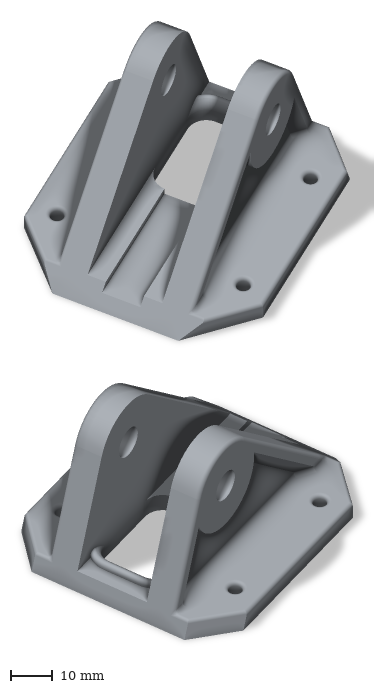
import cadquery as cq
import math

length = 74.0
width = 64.0
plate_height = 4.95
edge_round = 0.95
overcut = 14.8
tiny = 0.04

gap = 20.0
cheek_thickness = 8.0
boss_radius = 12.5
pivot_diameter = 8.2
pivot_y = 12.9
pivot_z = 30.0

pocket_depth = 3.0
rib_width = 3.0

front_corner_x = 15.2
front_corner_y = 15.5
back_corner = 10.0

screw_diameter = 3.5
screw_mouth_round = 1.0
screw_x = 24.95
screw_front_y = -17.85
screw_back_y = 19.2
window_front_y = 0.5
window_back_y = 28.3
window_corner = 5.0
groove_width = 10.2
groove_depth = 1.9

lip_width = 3.0
lip_foot_z = 4.0
lip_crest_radius = 1.0

half_gap = gap / 2
cheek_face = half_gap + cheek_thickness
front_y = -length / 2
back_y = length / 2


def slope_angle(run):
    """Angle of the line from a base end that is tangent to the boss."""
    distance = math.hypot(run, pivot_z)
    return math.atan2(pivot_z, run) + math.asin(boss_radius / distance)


front_angle = slope_angle(pivot_y - front_y)
back_angle = slope_angle(back_y - pivot_y)


def pocket_triangle(base_z):
    """Triangle one rib width inside both slopes, cut off at base_z."""
    front = front_y + rib_width / math.sin(front_angle)
    back = back_y - rib_width / math.sin(back_angle)
    front_slope = math.tan(front_angle)
    back_slope = math.tan(back_angle)
    apex_y = (front * front_slope + back * back_slope) / (front_slope + back_slope)
    apex_z = (apex_y - front) * front_slope
    return [
        (front + base_z / front_slope, base_z),
        (back - base_z / back_slope, base_z),
        (apex_y, apex_z),
    ]


def cheek_outline():
    """Side outline of a cheek: two slopes joined by the arc around the pivot."""
    front_tangent = (
        pivot_y - boss_radius * math.sin(front_angle),
        pivot_z + boss_radius * math.cos(front_angle),
    )
    back_tangent = (
        pivot_y + boss_radius * math.sin(back_angle),
        pivot_z + boss_radius * math.cos(back_angle),
    )
    return (
        cq.Workplane("YZ", origin=(half_gap, 0, 0))
        .moveTo(front_y, 0)
        .lineTo(back_y, 0)
        .lineTo(*back_tangent)
        .threePointArc((pivot_y, pivot_z + boss_radius), front_tangent)
        .close()
    )


def mirrored(body):
    """Body joined with its mirror image across the middle plane."""
    return body.union(body.mirror("YZ"))


def make_plate():
    """Base plate with sloping ends."""
    return (
        cq.Workplane("YZ", origin=(-width / 2, 0, 0))
        .polyline([
            (front_y, 0),
            (back_y, 0),
            (back_y - plate_height / math.tan(back_angle), plate_height),
            (front_y + plate_height / math.tan(front_angle), plate_height),
        ])
        .close()
        .extrude(width)
    )


def make_corner_cuts():
    """Wedges that trim the corners: upright in front, leaning with the slope at the back."""
    side = width / 2
    front_cut = (
        cq.Workplane("XY")
        .polyline([
            (side - front_corner_x, front_y),
            (side, front_y + front_corner_y),
            (side, front_y),
        ])
        .close()
        .extrude(plate_height)
    )
    back_plane = cq.Plane(
        origin=(side, back_y, 0),
        xDir=(1, 0, 0),
        normal=(0, -math.cos(back_angle), math.sin(back_angle)),
    )
    back_cut = (
        cq.Workplane(back_plane)
        .polyline([
            (-2 * back_corner, back_corner),
            (back_corner, -2 * back_corner),
            (back_corner, back_corner),
        ])
        .close()
        .extrude(overcut, both=True)
    )
    return mirrored(front_cut.union(back_cut))


def make_pocket():
    """Pocket with 45 degree slopes along both ribs, stopping at the boss and the plate."""
    pocket = (
        cq.Workplane("YZ", origin=(cheek_face, 0, 0))
        .polyline(pocket_triangle(plate_height - overcut))
        .close()
        .extrude(-pocket_depth, taper=45)
    )
    boss = (
        cq.Workplane("YZ", origin=(cheek_face, 0, 0))
        .center(pivot_y, pivot_z)
        .circle(boss_radius)
        .extrude(-pocket_depth)
    )
    pocket_zone = (
        cq.Workplane("XY", origin=(0, 0, plate_height))
        .box(width, length, pivot_z + boss_radius / 2 - plate_height, centered=(True, True, False))
    )
    return pocket.intersect(pocket_zone).cut(boss)


def make_lip():
    """Rounded lip that follows the back edge of the window and its two corners."""
    crest_d = lip_width - lip_crest_radius
    crest_z = lip_foot_z + math.sqrt(crest_d**2 - lip_crest_radius**2)
    blend_angle = math.atan2(crest_z - lip_foot_z, lip_crest_radius)

    def on_inner_arc(angle):
        return (
            window_back_y + lip_width - lip_width * math.cos(angle),
            lip_foot_z + lip_width * math.sin(angle),
        )

    straight = half_gap - window_corner
    section = (
        cq.Workplane("YZ", origin=(straight, 0, 0))
        .moveTo(window_back_y, lip_foot_z)
        .threePointArc(on_inner_arc(blend_angle / 2), on_inner_arc(blend_angle))
        .threePointArc(
            (window_back_y + crest_d, crest_z + lip_crest_radius),
            (window_back_y + lip_width, crest_z),
        )
        .lineTo(window_back_y + lip_width, lip_foot_z)
        .close()
    )
    centre_y = window_back_y - window_corner
    bar = cq.Workplane("YZ", origin=(straight, 0, 0)).add(section).toPending().extrude(-straight)
    corner = section.revolve(90, (centre_y, 0, 0), (centre_y, -1, 0))
    return mirrored(bar.union(corner))


def make_lip_seat():
    """Clearance in the plate under the lip, open towards the window."""
    corner_y = window_back_y - window_corner
    straight = half_gap - window_corner
    radius = window_corner + lip_width
    return (
        cq.Workplane("XY", origin=(0, corner_y, lip_foot_z))
        .moveTo(-straight - radius, 0)
        .radiusArc((-straight, radius), radius)
        .lineTo(straight, radius)
        .radiusArc((straight + radius, 0), radius)
        .close()
        .extrude(plate_height)
    )


def make_window():
    """Rounded opening through the plate between the cheeks."""
    window_length = window_back_y - window_front_y
    return (
        cq.Workplane("XY")
        .center(0, (window_front_y + window_back_y) / 2)
        .rect(gap, window_length)
        .extrude(plate_height + overcut)
        .edges("|Z")
        .fillet(window_corner)
    )


def make_groove():
    """Shallow groove from the window out through the front slope."""
    return (
        cq.Workplane("XY", origin=(0, front_y, plate_height - groove_depth))
        .rect(groove_width, 2 * (window_front_y + window_corner - front_y))
        .extrude(overcut)
    )


def make_screw_hole():
    """Screw hole whose mouth flares out in a quarter round."""
    radius = screw_diameter / 2
    mouth_radius = radius + screw_mouth_round
    return (
        cq.Workplane("XZ")
        .lineTo(radius, 0)
        .lineTo(radius, plate_height - screw_mouth_round)
        .radiusArc((mouth_radius, plate_height), screw_mouth_round)
        .lineTo(0, plate_height)
        .close()
        .revolve(360, (0, 0, 0), (0, 1, 0))
    )


def plate_top_zone(x_from, x_to, whole_edges):
    """Selector for the edges at plate height between two distances from the middle plane."""
    low = plate_height - tiny
    high = plate_height + tiny
    right = cq.selectors.BoxSelector((x_from, front_y, low), (x_to, back_y, high), boundingbox=whole_edges)
    left = cq.selectors.BoxSelector((-x_to, front_y, low), (-x_from, back_y, high), boundingbox=whole_edges)
    return right + left


def round_feet(body):
    """Concave rounds where the outer cheek faces and the pockets meet the plate."""
    pocket_floor = cheek_face - pocket_depth
    feet = plate_top_zone(pocket_floor - tiny, cheek_face + tiny, True)
    return body.edges(feet).fillet(edge_round)


def round_outside(body):
    """Convex rounds along the top edges of the plate wings and over the cheek outlines."""
    wing_edges = plate_top_zone(cheek_face + tiny, width, False)
    highest = pivot_z + boss_radius + tiny
    near = cheek_face - tiny
    far = cheek_face + tiny
    right_arc = cq.selectors.BoxSelector((near, front_y, pivot_z), (far, back_y, highest), boundingbox=True)
    left_arc = cq.selectors.BoxSelector((-far, front_y, pivot_z), (-near, back_y, highest), boundingbox=True)
    return body.edges(wing_edges + right_arc + left_arc).fillet(edge_round)


cheek = cheek_outline().extrude(cheek_thickness).cut(make_pocket())
body = make_plate().cut(make_lip_seat()).union(mirrored(cheek)).cut(make_corner_cuts())
body = round_outside(body)
body = round_feet(body)

body = body.cut(make_window()).union(make_lip()).cut(make_groove())

for x in (-screw_x, screw_x):
    for y in (screw_front_y, screw_back_y):
        body = body.cut(make_screw_hole().translate((x, y, 0)))

pivot = cq.Workplane("YZ", origin=(-width / 2, pivot_y, pivot_z)).circle(pivot_diameter / 2).extrude(width)
result = body.cut(pivot)